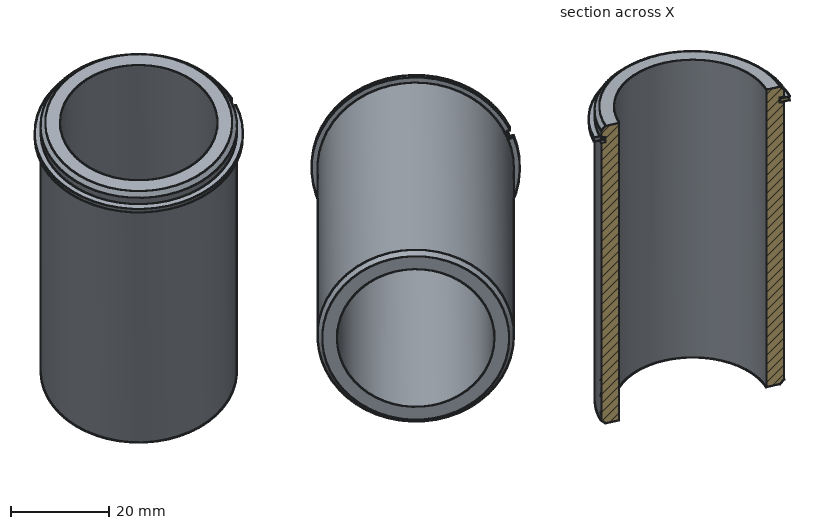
import cadquery as cq

sleeve_length = 75.0
sleeve_diameter = 40.0
bore_diameter = 32.0
end_chamfer = 1.0

ring_outer_diameter = 42.4
ring_thickness = 1.05
ring_gap = 1.8
groove_width = 1.2
groove_depth = 1.0
groove_bottom_z = 70.95
groove_diameter = sleeve_diameter - 2 * groove_depth


def tube(outer_diameter, inner_diameter, bottom_z, height):
    """Upright tube centred on the Z axis."""
    return (
        cq.Workplane("XY", origin=(0, 0, bottom_z))
        .circle(outer_diameter / 2)
        .circle(inner_diameter / 2)
        .extrude(height)
    )


def make_sleeve():
    """Plain sleeve with chamfered outer rims and a snap ring groove."""
    rod = cq.Workplane("XY").circle(sleeve_diameter / 2).extrude(sleeve_length)
    rod = rod.faces("<Z or >Z").edges().chamfer(end_chamfer)
    bore = cq.Workplane("XY").circle(bore_diameter / 2).extrude(sleeve_length)
    groove = tube(ring_outer_diameter, groove_diameter, groove_bottom_z, groove_width)
    return rod.cut(bore).cut(groove)


def make_snap_ring():
    """Flat ring resting on the groove's lower wall, split on its +Y side."""
    ring = tube(ring_outer_diameter, groove_diameter, groove_bottom_z, ring_thickness)
    gap = (
        cq.Workplane("XY", origin=(0, 0, groove_bottom_z))
        .rect(ring_gap, ring_outer_diameter)
        .extrude(ring_thickness)
        .translate((0, ring_outer_diameter / 2, 0))
    )
    return ring.cut(gap)


sleeve = make_sleeve()
snap_ring = make_snap_ring()

result = cq.Compound.makeCompound([sleeve.val(), snap_ring.val()])